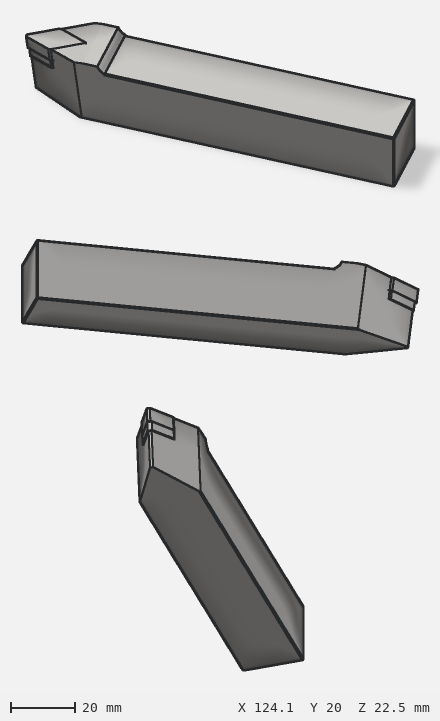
import cadquery as cq
import math

overall_length = 124.1
shank_size = 20.0
half_width = shank_size / 2
edge_chamfer = 0.4

head_height = 22.5
hump_front = 21.8
hump_rear = 26.7
ramp_foot = 29.0
ramp_sag = 0.31
tilt = 6.8
tip_height = head_height - hump_front * math.tan(math.radians(tilt))

flank_slope = math.tan(math.radians(27.5))
nose_half_width = 0.5
holder_nose = 0.9
shim_nose = 0.6
insert_corner = 8.9
shim_corner = 9.0
corner_flat = 0.9
shim_nose_half_width = 0.7

insert_thickness = 4.5
shim_thickness = 3.0
head_depth = 31.0

slope_angle = math.radians(tilt)
top_face = cq.Plane(
    origin=(0, 0, tip_height),
    xDir=(math.cos(slope_angle), 0, math.sin(slope_angle)),
    normal=(-math.sin(slope_angle), 0, math.cos(slope_angle)),
)


def make_plate(nose, nose_half, corner, top_depth, thickness):
    """Rhombic plate with a blunt nose and blunt wide corners, lying parallel to the tilted top face."""
    corner_half = nose_half + (corner - nose) * flank_slope
    flat_end = corner + corner_flat
    rear_tip = flat_end + corner_half / flank_slope
    outline = [
        (nose, -nose_half),
        (corner, -corner_half),
        (flat_end, -corner_half),
        (rear_tip, 0),
        (flat_end, corner_half),
        (corner, corner_half),
        (nose, nose_half),
    ]
    plane = cq.Workplane(top_face).workplane(offset=-top_depth)
    return plane.polyline(outline).close().extrude(-thickness)


def make_shank():
    """Chamfered bar, running from the foot of the hump to the rear end."""
    length = overall_length - ramp_foot
    bar = cq.Workplane("XY").box(length, shank_size, shank_size, centered=(False, True, False))
    bar = bar.edges("|X or >X").chamfer(edge_chamfer)
    return bar.translate((ramp_foot, 0, 0))


def make_head():
    """Side profile of the head, cut to a point whose flanks are square to the top face."""
    ramp_middle = (
        (hump_rear + ramp_foot) / 2 - ramp_sag / math.sqrt(2),
        (head_height + shank_size) / 2 - ramp_sag / math.sqrt(2),
    )
    block = (
        cq.Workplane("XZ")
        .moveTo(0, 0)
        .lineTo(0, tip_height)
        .lineTo(hump_front, head_height)
        .lineTo(hump_rear, head_height)
        .threePointArc(ramp_middle, (ramp_foot, shank_size))
        .lineTo(ramp_foot, 0)
        .close()
        .extrude(half_width, both=True)
    )
    block = block.edges("|X and <Z").chamfer(edge_chamfer)
    shoulder = holder_nose + (half_width - nose_half_width) / flank_slope
    point_outline = [
        (holder_nose, -nose_half_width),
        (shoulder, -half_width),
        (overall_length, -half_width),
        (overall_length, half_width),
        (shoulder, half_width),
        (holder_nose, nose_half_width),
    ]
    point = (
        cq.Workplane(top_face)
        .polyline(point_outline)
        .close()
        .extrude(head_depth, both=True)
    )
    return block.intersect(point)


def make_insert():
    """Cutting insert, flush with the tilted top face."""
    return make_plate(0, nose_half_width, insert_corner, 0, insert_thickness)


def make_holder(insert):
    """Shank and head with the seat below the insert, and the insert pocket cut out."""
    shim = make_plate(
        shim_nose, shim_nose_half_width, shim_corner, insert_thickness, shim_thickness
    )
    holder = make_head().union(make_shank()).union(shim).cut(insert)
    return holder.solids()


insert = make_insert()
holder = make_holder(insert)
result = cq.Compound.makeCompound([holder.val(), insert.val()])